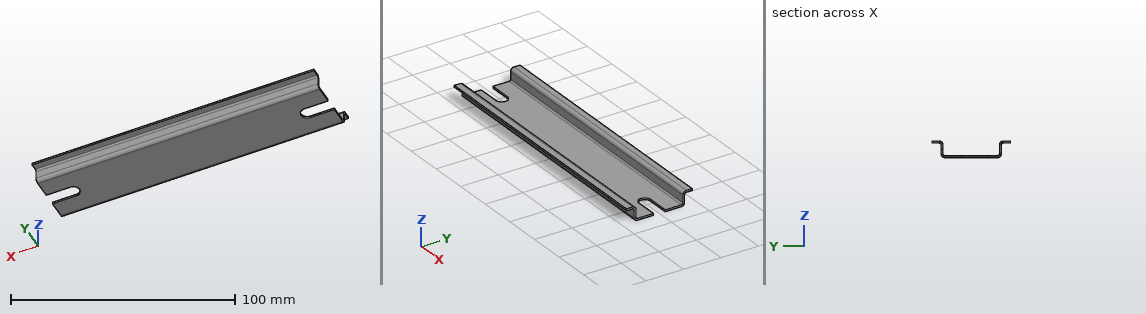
import cadquery as cq

rail_length = 140.0
rail_width = 35.0
rail_height = 7.5
sheet_thickness = 1.0
channel_width = 27.0
inner_bend_radius = 0.8
outer_bend_radius = inner_bend_radius + sheet_thickness

slot_width = 6.2
slot_depth = 15.0


def make_folded_sheet():
    """Sharp-cornered hat section along X, with every fold then rounded."""
    edge_y = rail_width / 2
    wall_outer_y = channel_width / 2
    wall_inner_y = wall_outer_y - sheet_thickness
    flange_underside_z = rail_height - sheet_thickness

    half_outline = [
        (wall_outer_y, 0),
        (wall_outer_y, flange_underside_z),
        (edge_y, flange_underside_z),
        (edge_y, rail_height),
        (wall_inner_y, rail_height),
        (wall_inner_y, sheet_thickness),
    ]
    mirrored_half = [(-y, z) for y, z in reversed(half_outline)]
    sheet = (
        cq.Workplane("YZ")
        .polyline(half_outline + mirrored_half)
        .close()
        .extrude(rail_length / 2, both=True)
    )

    inner_folds = [(wall_inner_y, sheet_thickness), (wall_outer_y, flange_underside_z)]
    outer_folds = [(wall_outer_y, 0), (wall_inner_y, rail_height)]
    sheet = round_folds(sheet, inner_folds, inner_bend_radius)
    return round_folds(sheet, outer_folds, outer_bend_radius)


def round_folds(sheet, corners, radius):
    """Fillet the lengthwise edges at the given (Y, Z) corners and their mirror images."""
    for y, z in corners:
        for side in (-1, 1):
            edge = cq.selectors.NearestToPointSelector((0, side * y, z))
            sheet = sheet.edges("|X").edges(edge).fillet(radius)
    return sheet


def make_end_slot(end):
    """Round-bottomed slot cutter through the floor; end is -1 or +1 along X."""
    return (
        cq.Workplane("XY")
        .center(end * rail_length / 2, 0)
        .slot2D(2 * slot_depth, slot_width)
        .extrude(sheet_thickness)
    )


result = make_folded_sheet()
for rail_end in (-1, 1):
    result = result.cut(make_end_slot(rail_end))